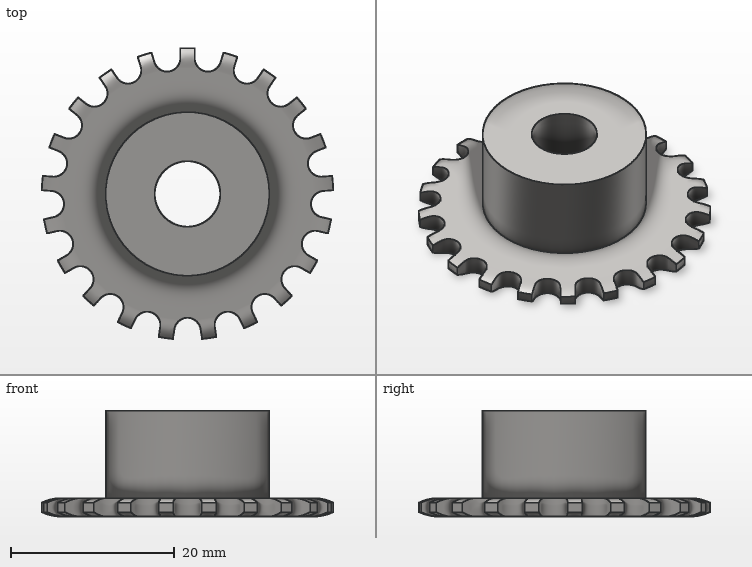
import cadquery as cq
import math

tooth_count = 21
overall_width = 35.68
disc_thickness = 2.3
tip_thickness = 1.15
flat_face_radius = 15.4

pitch_radius = 16.77
roller_seat_radius = 1.6
gap_overrun = 1.8
half_pitch_angle = math.pi / tooth_count

tooth_half_width = pitch_radius * math.sin(half_pitch_angle) - roller_seat_radius
tooth_turn = half_pitch_angle / 2
corner_reach = (
    overall_width / 2 - tooth_half_width * math.sin(tooth_turn)
) / math.cos(tooth_turn)
tip_radius = math.hypot(corner_reach, tooth_half_width)

hub_diameter = 20.0
bore_diameter = 8.0
overall_height = 13.0


def rounded_edge_disc():
    """Disc whose side faces run into arcs, tangent to the faces, near the rim."""
    rise = (disc_thickness - tip_thickness) / 2
    reach = tip_radius - flat_face_radius
    side_radius = (reach**2 + rise**2) / (2 * rise)
    half_sweep = math.asin(reach / side_radius) / 2
    arc_mid_radius = flat_face_radius + side_radius * math.sin(half_sweep)
    arc_mid_drop = side_radius * (1 - math.cos(half_sweep))
    profile = (
        cq.Workplane("XZ")
        .lineTo(flat_face_radius, 0)
        .threePointArc((arc_mid_radius, arc_mid_drop), (tip_radius, rise))
        .lineTo(tip_radius, disc_thickness - rise)
        .threePointArc(
            (arc_mid_radius, disc_thickness - arc_mid_drop),
            (flat_face_radius, disc_thickness),
        )
        .lineTo(0, disc_thickness)
        .close()
    )
    return profile.revolve(360, (0, 0, 0), (0, 1, 0))


def tooth_gap():
    """Cutter on the -Y side: a round roller seat with straight flanks tangent to it.

    Each flank leans outwards by half the pitch angle, so every tooth has parallel sides.
    """
    seat_end_x = roller_seat_radius * math.cos(half_pitch_angle)
    seat_end_y = -pitch_radius + roller_seat_radius * math.sin(half_pitch_angle)
    outer_y = -(tip_radius + gap_overrun)
    outer_x = seat_end_x + (seat_end_y - outer_y) * math.tan(half_pitch_angle)
    return (
        cq.Workplane("XY")
        .moveTo(-outer_x, outer_y)
        .lineTo(-seat_end_x, seat_end_y)
        .threePointArc((0, roller_seat_radius - pitch_radius), (seat_end_x, seat_end_y))
        .lineTo(outer_x, outer_y)
        .close()
        .extrude(disc_thickness)
    )


sprocket = rounded_edge_disc()
gap = tooth_gap()
for index in range(tooth_count):
    gap_angle = 360 * index / tooth_count
    sprocket = sprocket.cut(gap.rotate((0, 0, 0), (0, 0, 1), gap_angle))

hub = cq.Workplane("XY").circle(hub_diameter / 2).extrude(overall_height)
bore = cq.Workplane("XY").circle(bore_diameter / 2).extrude(overall_height)

result = sprocket.union(hub).cut(bore)